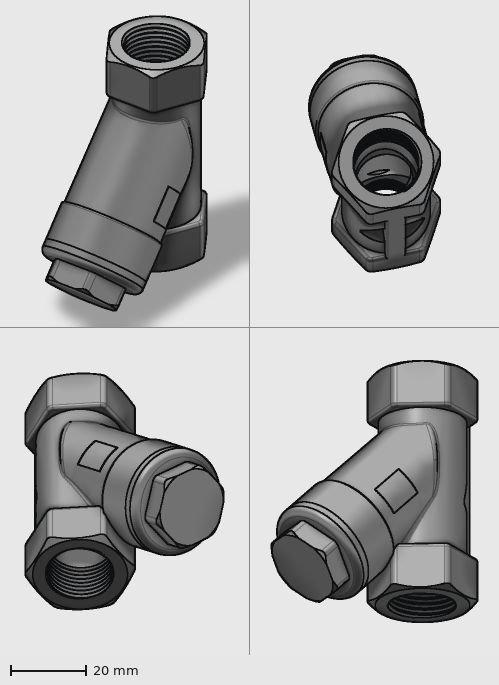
import cadquery as cq
import math

port_length = 65.05
hex_width = 26.0
hex_height = 13.0
hex_corner_radius = 2.0
hex_fillet = 1.0
hex_face_radius = 12.65
hex_chamfer_slope = 0.64
pipe_radius = 11.85
bore_radius = 8.8
port_face = port_length / 2
hex_inner_face = port_face - hex_height

thread_pitch = 1.5
thread_depth = 0.7
thread_turns = 9
sleeve_radius = 10.55
sleeve_bottom = 17.7
thread_overlap = 0.035

branch_height = 7.75
branch_back = -2.0
branch_back_fillet = 2.0
branch_root_fillet = 0.95
branch_start_radius = 13.6
branch_end_radius = 14.0
branch_overrun = 27.2
collar_radius = 14.55
collar_start = 30.1
collar_end = 41.1
collar_fillet = 0.55
cavity_radius = 11.2

seat_start = 3.05
seat_end = 6.3
seat_hole_radius = 7.6

pad_start = 16.0
pad_length = 10.15
pad_width = 8.2
pad_rise = 0.15

rib_half_width = 2.7
rib_fillet = 0.5
pocket_mouth = hex_width / 2
pocket_tip = 8.0
pocket_tip_top = -3.75
pocket_tip_bottom = -5.1
pocket_top_slope = 3.0
pocket_bottom_slope = 0.9
pocket_tip_fillet = 0.4

gasket_thickness = 2.05
flange_thickness = 2.05
flange_fillet = 2.0
shank_length = 7.1
plug_hex_width = 20.2
plug_hex_end = 51.1
plug_face_radius = 10.4
plug_chamfer_slope = 0.9
flange_start = collar_end + gasket_thickness
flange_end = flange_start + flange_thickness

margin = 40.85
branch_axis = cq.Vector(0, -1, -1)


def branch_plane(distance):
    """Plane square to the branch axis; its local Y points up and forward."""
    step = distance / math.sqrt(2)
    return cq.Plane(origin=(0, -step, branch_height - step), xDir=(1, 0, 0), normal=branch_axis)


def branch_disc(radius, start, end):
    return cq.Workplane(branch_plane(start)).circle(radius).extrude(end - start)


def hexagon(plane, width, height):
    """Hexagonal prism with rounded corners, two of them on the X axis."""
    corner_to_corner = width / math.cos(math.radians(30))
    prism = cq.Workplane(plane).polygon(6, corner_to_corner).extrude(height)
    return prism.edges(cq.selectors.ParallelDirSelector(plane.zDir)).fillet(hex_corner_radius)


def chamfer_envelope(plane, height, face_radius, slope):
    """Bar with a conical outer end, which chamfers the hexagon it is intersected with."""
    side_plane = cq.Plane(origin=plane.origin, xDir=plane.xDir, normal=-plane.yDir)
    cone_width = height / 2
    cone_height = slope * cone_width
    outline = [
        (0, 0),
        (face_radius + cone_width, 0),
        (face_radius + cone_width, height - cone_height),
        (face_radius, height),
        (0, height),
    ]
    return cq.Workplane(side_plane).polyline(outline).close().revolve(360, (0, 0, 0), (0, 1, 0))


def end_hexagon():
    plane = cq.Plane(origin=(0, 0, hex_inner_face))
    prism = hexagon(plane, hex_width, hex_height).faces("<Z").edges().fillet(hex_fillet)
    return prism.intersect(chamfer_envelope(plane, hex_height, hex_face_radius, hex_chamfer_slope))


def to_lower_end(shape):
    return shape.rotate((0, 0, 0), (1, 0, 0), 180)


def thread_groove():
    """Helical groove of the upper port, deepest on the -X side at the port face."""
    height = thread_turns * thread_pitch
    bottom = port_face + thread_pitch - height
    inner_radius = bore_radius - thread_overlap
    half_width = thread_depth + thread_overlap
    helix = cq.Wire.makeHelix(thread_pitch, height, bore_radius)
    outline = [(inner_radius, -half_width), (bore_radius + thread_depth, 0), (inner_radius, half_width)]
    groove = cq.Workplane("XZ").polyline(outline).close().sweep(cq.Workplane(obj=helix), isFrenet=True)
    return groove.rotate((0, 0, 0), (0, 0, 1), 180).translate((0, 0, bottom))


def thread_sleeve():
    """Threaded lining of the upper port, trimmed flush with the port face."""
    tall_tube = (
        cq.Workplane("XY", origin=(0, 0, sleeve_bottom))
        .circle(sleeve_radius)
        .circle(bore_radius)
        .extrude(margin)
    )
    trim = cq.Workplane("XY").circle(margin).extrude(port_face)
    return tall_tube.cut(thread_groove()).intersect(trim)


def branch_cone(growth):
    """Tapered bar along the branch axis, grown outwards evenly by the given amount."""
    base = branch_plane(0)
    side_plane = cq.Plane(origin=base.origin, xDir=base.xDir, normal=-base.yDir)
    outline = [
        (0, -branch_overrun),
        (branch_start_radius + growth, -branch_overrun),
        (branch_end_radius + growth, collar_end),
        (0, collar_end),
    ]
    return cq.Workplane(side_plane).polyline(outline).close().revolve(360, (0, 0, 0), (0, 1, 0))


def branch():
    behind = cq.Workplane("XZ", origin=(0, branch_back, 0)).rect(4 * margin, 4 * margin).extrude(-2 * margin)
    return branch_cone(0).cut(behind).faces(">Y").edges().fillet(branch_back_fillet)


def collar():
    disc = branch_disc(collar_radius, collar_start, collar_end)
    inner_end = cq.selectors.DirectionMinMaxSelector(branch_axis, False)
    return disc.faces(inner_end).edges().fillet(collar_fillet)


def rib():
    half_length = hex_inner_face + hex_fillet
    bar = (
        cq.Workplane("XZ")
        .rect(2 * rib_half_width, 2 * half_length)
        .extrude(-hex_width / 2)
    )
    return bar.faces(">Y").edges("|Z").fillet(rib_fillet)


def rib_pockets():
    """V-shaped pockets cut in from both sides, leaving the rib between them."""
    reach = pocket_mouth - pocket_tip
    profile = [
        (pocket_tip, pocket_tip_bottom),
        (pocket_mouth, pocket_tip_bottom - pocket_bottom_slope * reach),
        (pocket_mouth, pocket_tip_top + pocket_top_slope * reach),
        (pocket_tip, pocket_tip_top),
    ]
    pocket = (
        cq.Workplane("YZ", origin=(rib_half_width, 0, 0))
        .polyline(profile)
        .close()
        .extrude(margin)
        .edges("|X and <Y")
        .fillet(pocket_tip_fillet)
    )
    return pocket.union(pocket.mirror("YZ"))


def seat_side(distance, towards_plug):
    """Block on one side of the plane square to the branch axis at this distance."""
    length = 2 * margin if towards_plug else -2 * margin
    return cq.Workplane(branch_plane(distance)).rect(4 * margin, 4 * margin).extrude(length)


def name_pads():
    """Low rectangular pads on the -X and +X sides of the branch, following its taper."""
    side_plane = cq.Plane(origin=(0, 0, branch_height), xDir=branch_axis, normal=(1, 0, 0))
    block = (
        cq.Workplane(side_plane)
        .center(pad_start + pad_length / 2, 0)
        .rect(pad_length, pad_width)
        .extrude(margin, both=True)
    )
    return branch_cone(pad_rise).intersect(block)


def pipe_with_branch():
    """Pipe joined to the branch, with a fillet along the line where they meet."""
    pipe = cq.Workplane("XY").circle(pipe_radius).extrude(port_face - hex_height / 2, both=True)
    joined = pipe.union(branch())
    root_edges = cq.selectors.BoxSelector(
        (-pipe_radius, -pipe_radius, -hex_inner_face),
        (pipe_radius, branch_back / 2, hex_inner_face),
    )
    return joined.edges(root_edges).fillet(branch_root_fillet)


def flow_passages():
    """Both port bores, the seat hole between them and the cavity for the plug."""
    bore = cq.Workplane("XY").circle(bore_radius).extrude(margin, both=True)
    return [
        bore.intersect(seat_side(seat_start, False)),
        bore.intersect(seat_side(seat_end, True)),
        branch_disc(seat_hole_radius, seat_start, seat_end),
        branch_disc(cavity_radius, seat_end, collar_end),
    ]


def make_housing():
    body = pipe_with_branch().union(collar()).union(name_pads())
    body = body.union(rib()).cut(rib_pockets())
    upper_hexagon = end_hexagon()
    body = body.union(upper_hexagon).union(to_lower_end(upper_hexagon))
    for passage in flow_passages():
        body = body.cut(passage)
    sleeve_seat = cq.Workplane("XY", origin=(0, 0, sleeve_bottom)).circle(sleeve_radius).extrude(margin)
    sleeve = thread_sleeve()
    body = body.cut(sleeve_seat).union(sleeve)
    return body.cut(to_lower_end(sleeve_seat)).union(to_lower_end(sleeve))


def make_gasket():
    ring = branch_disc(collar_radius, collar_end, flange_start)
    return ring.cut(branch_disc(cavity_radius, collar_end, flange_start))


def make_plug():
    outer_end = cq.selectors.DirectionMinMaxSelector(branch_axis, True)
    flange = branch_disc(collar_radius, flange_start, flange_end).faces(outer_end).edges().fillet(flange_fillet)
    shank = branch_disc(cavity_radius, collar_end - shank_length, flange_start)
    head_plane = branch_plane(flange_end)
    head_height = plug_hex_end - flange_end
    head = hexagon(head_plane, plug_hex_width, head_height).intersect(
        chamfer_envelope(head_plane, head_height, plug_face_radius, plug_chamfer_slope)
    )
    return flange.union(shank).union(head)


housing = make_housing()
gasket = make_gasket()
plug = make_plug()
result = cq.Compound.makeCompound([housing.val(), gasket.val(), plug.val()])